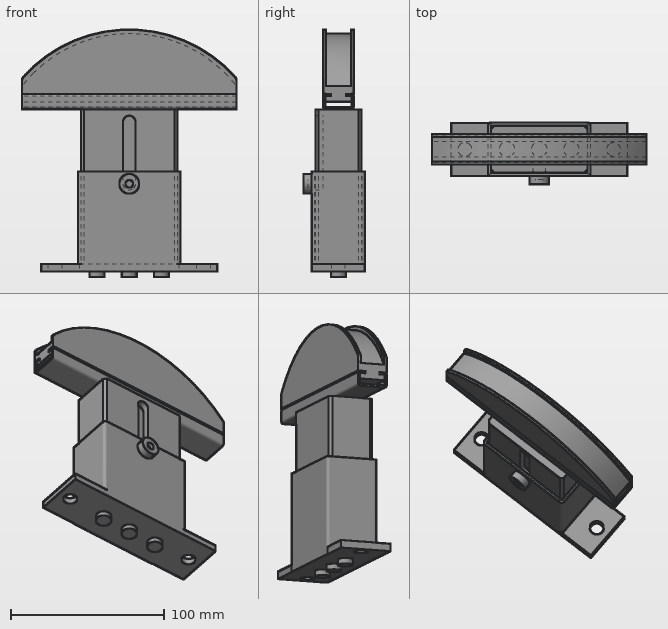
import cadquery as cq

total_height = 161.7
rod_length = 3.7
plate_thickness = 5.0
housing_height = 60.3
channel_height = 10.0
guide_height = 42.0
plate_top = rod_length + plate_thickness
housing_top = plate_top + housing_height
guide_bottom = total_height - guide_height
channel_bottom = guide_bottom - channel_height

housing_length = 67.0
housing_width = 35.0
wall = 2.0
housing_corner_radius = 2.1
plate_length = 115.1
plate_width = 34.6
plate_hole_diameter = 9.0
plate_hole_inset = 9.0
rod_diameter = 10.0
rod_spacing = 21.0

slider_length = housing_length - 2 * wall
slider_width = 30.2
slider_chamfer = 2.0
slot_width = 8.1
slot_depth = 5.0
slot_top_gap = 4.2
field_width = 15.0
field_left = -23.3
field_top_gap = 2.1
field_heights = [22.3, 9.9, 9.9]
field_depth = 0.8

knob_diameter = 13.0
knob_length = 5.5
knob_drop = 8.1
socket_diameter = 5.0
socket_depth = 3.2
knob_z = housing_top - knob_drop
front_face = -housing_width / 2

guide_length = 140.0
guide_width = 20.0
channel_wall = 1.5
channel_corner_radius = 2.0
channel_opening = 10.0
flange_thickness = 2.0
flange_end_height = 10.0
flange_tip_radius = 3.0
floor_drop = 2.6
floor_end_height = 5.2
foot_height = 3.7
foot_width = guide_width - 2 * channel_wall


def box(length, width, bottom, top, x=0.0, y=0.0):
    """Upright block centred on (x, y) between two heights."""
    return (
        cq.Workplane("XY", origin=(x, y, bottom))
        .rect(length, width)
        .extrude(top - bottom)
    )


def make_housing():
    plate_y = front_face + plate_width / 2
    tube = box(housing_length, housing_width, rod_length, housing_top)
    tube = tube.edges("|Z").fillet(housing_corner_radius)
    plate = box(plate_length, plate_width, rod_length, plate_top, y=plate_y)
    cavity = box(slider_length, housing_width - 2 * wall, plate_top, housing_top)
    body = plate.union(tube).cut(cavity)

    hole_x = plate_length / 2 - plate_hole_inset
    holes = (
        cq.Workplane("XY", origin=(0, plate_y, rod_length))
        .pushPoints([(-hole_x, 0), (hole_x, 0)])
        .circle(plate_hole_diameter / 2)
        .extrude(plate_thickness)
    )
    rods = (
        cq.Workplane("XY")
        .pushPoints([(-rod_spacing, 0), (0, 0), (rod_spacing, 0)])
        .circle(rod_diameter / 2)
        .extrude(rod_length)
    )
    return body.cut(holes).union(rods)


def make_slider():
    body = box(slider_length, slider_width, plate_top, channel_bottom)
    body = body.edges("|Z").chamfer(slider_chamfer)
    slider_front = -slider_width / 2

    slot_top = channel_bottom - slot_top_gap
    slot_bottom = knob_z - slot_width / 2
    slot = (
        cq.Workplane("XZ", origin=(0, slider_front, (slot_top + slot_bottom) / 2))
        .slot2D(slot_top - slot_bottom, slot_width, 90)
        .extrude(-slot_depth)
    )
    body = body.cut(slot)

    field_x = field_left + field_width / 2
    field_y = slider_front + field_depth / 2
    field_top = channel_bottom - field_top_gap
    for height in field_heights:
        field = box(field_width, field_depth, field_top - height, field_top, field_x, field_y)
        body = body.cut(field, clean=False).union(field, clean=False)
        field_top -= height
    return body


def make_knob():
    front = front_face - knob_length
    knob = (
        cq.Workplane("XZ", origin=(0, front, knob_z))
        .circle(knob_diameter / 2)
        .extrude(-knob_length)
    )
    socket = (
        cq.Workplane("XZ", origin=(0, front, knob_z))
        .circle(socket_diameter / 2)
        .extrude(-socket_depth)
    )
    return knob.cut(socket)


def make_channel():
    body = box(guide_length, guide_width, channel_bottom, guide_bottom)
    body = body.edges("|X").fillet(channel_corner_radius)
    inner_bottom = channel_bottom + channel_wall
    inner_top = guide_bottom - channel_wall
    inside = box(guide_length, foot_width, inner_bottom, inner_top)
    opening = box(guide_length, channel_opening, inner_top, guide_bottom)
    return body.cut(inside).cut(opening)


def make_guide():
    half_length = guide_length / 2
    flange_end = guide_bottom + flange_end_height
    body = (
        cq.Workplane("XZ", origin=(0, guide_width / 2, 0))
        .moveTo(-half_length, guide_bottom)
        .lineTo(-half_length, flange_end)
        .threePointArc((0, total_height), (half_length, flange_end))
        .lineTo(half_length, guide_bottom)
        .close()
        .extrude(guide_width)
    )
    tips = cq.selectors.BoxSelector(
        (-guide_length, -guide_width, flange_end - flange_tip_radius),
        (guide_length, guide_width, flange_end + flange_tip_radius),
    )
    body = body.edges("|Y").edges(tips).fillet(flange_tip_radius)

    running_width = guide_width - 2 * flange_thickness
    floor_end = guide_bottom + floor_end_height
    groove = (
        cq.Workplane("XZ", origin=(0, running_width / 2, 0))
        .moveTo(-half_length, floor_end)
        .threePointArc((0, total_height - floor_drop), (half_length, floor_end))
        .lineTo(half_length, total_height)
        .lineTo(-half_length, total_height)
        .close()
        .extrude(running_width)
    )

    lip_underside = guide_bottom - channel_wall
    neck = box(guide_length, channel_opening, lip_underside, guide_bottom)
    foot = box(guide_length, foot_width, lip_underside - foot_height, lip_underside)
    return body.cut(groove).union(neck).union(foot)


housing = make_housing()
slider = make_slider()
knob = make_knob()
channel = make_channel()
guide = make_guide()

result = cq.Compound.makeCompound(
    [housing.val(), slider.val(), knob.val(), channel.val(), guide.val()]
)